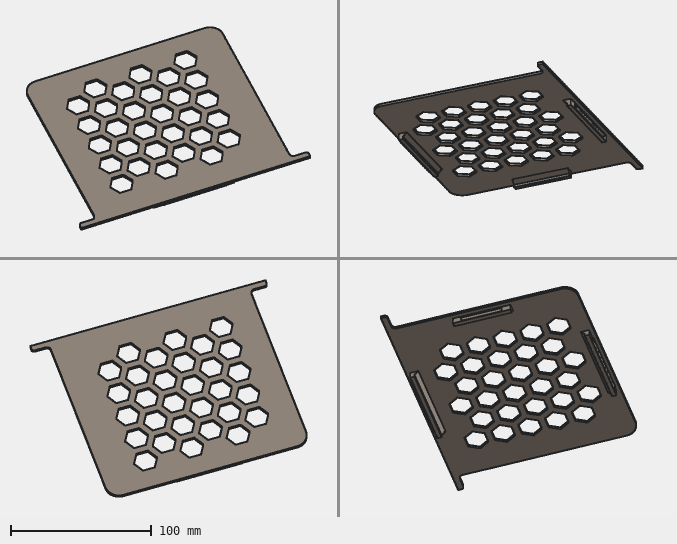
import math
import cadquery as cq

length_x = 140.0
length_y = 176.0
total_height = 6.92
plate_thickness = 2.0
body_width = 150.0
ear_width = 4.5
front_corner_radius = 10.0
ear_tip_radius = 2.0
ear_root_radius = 3.0

hex_pitch = 20.0
hex_flat_width = 15.0
hex_sides = 6
hex_corner_diameter = hex_flat_width / math.cos(math.pi / hex_sides)
hex_columns = 5
hex_rows = 6
hex_row_pitch = hex_pitch * math.sin(math.radians(60))
grid_centre_x = -2.5
grid_centre_y = -2.35

side_clip_length = 62.0
back_clip_length = 43.0
bead_end_inset = 6.5
clip_thickness = 3.2
clip_slope_size = 2.95
clip_edge_inset = 3.2
bead_drop = 3.0
bead_radius = 1.42

half_x = length_x / 2
half_y = length_y / 2
half_body = body_width / 2
clip_height = total_height - plate_thickness


def turn(shape, angle):
    """Turn a shape about the Z axis."""
    return shape.rotate((0, 0, 0), (0, 0, 1), angle)


def make_plate():
    """Plate with two rounded corners and an ear at each end of its +X edge."""
    ear_x = half_x - ear_width
    outline = [
        (-half_x, -half_body),
        (ear_x, -half_body),
        (ear_x, -half_y),
        (half_x, -half_y),
        (half_x, half_y),
        (ear_x, half_y),
        (ear_x, half_body),
        (-half_x, half_body),
    ]
    plate = cq.Workplane("XY").polyline(outline).close().extrude(plate_thickness)
    plate = plate.edges("|Z and <X").fillet(front_corner_radius)
    middle_z = plate_thickness / 2
    for side in (-1, 1):
        ear_root = cq.selectors.NearestToPointSelector((ear_x, side * half_body, middle_z))
        plate = plate.edges(ear_root).fillet(ear_root_radius)
        ear_tip = cq.selectors.NearestToPointSelector((ear_x, side * half_y, middle_z))
        plate = plate.edges(ear_tip).fillet(ear_tip_radius)
    return plate


def make_vents():
    """Staggered rows of hexagons with corners pointing along Y."""
    centres = []
    for row in range(hex_rows):
        stagger = hex_pitch / 4 if row % 2 == 0 else -hex_pitch / 4
        y = grid_centre_y + (row - (hex_rows - 1) / 2) * hex_row_pitch
        for column in range(hex_columns):
            x = grid_centre_x + stagger + (column - (hex_columns - 1) / 2) * hex_pitch
            centres.append((x, y))
    vent = cq.Workplane("XY").polygon(hex_sides, hex_corner_diameter).extrude(plate_thickness)
    vent = turn(vent, 180 / hex_sides).val()
    return cq.Workplane("XY").pushPoints(centres).eachpoint(vent, combine=True)


def make_clip(clip_length):
    """Clip running along Y, its outer face at X = 0 facing -X, hanging from Z = 0."""
    wall = (
        cq.Workplane("XZ")
        .moveTo(0, 0)
        .lineTo(clip_thickness + clip_slope_size, 0)
        .lineTo(clip_thickness, -clip_slope_size)
        .lineTo(clip_thickness, -clip_height)
        .lineTo(0, -clip_height)
        .close()
        .extrude(clip_length / 2, both=True)
    )
    bead = (
        cq.Workplane("XZ")
        .center(0, -bead_drop)
        .circle(bead_radius)
        .extrude(clip_length / 2 - bead_end_inset, both=True)
    )
    return wall.union(bead)


side_clip = make_clip(side_clip_length).translate((clip_edge_inset - half_x, 0, 0))
back_clip = turn(make_clip(back_clip_length), -90).translate((0, half_body - clip_edge_inset, 0))

result = make_plate().cut(make_vents())
result = result.union(side_clip).union(turn(side_clip, 180)).union(back_clip)